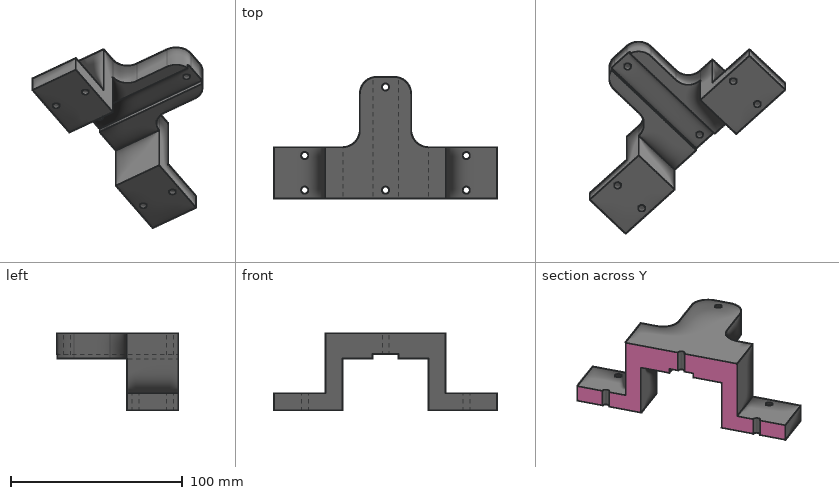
import cadquery as cq

length = 130.0
depth = 71.0
height = 45.0

bridge_depth = 30.0
bridge_width = 70.0
opening_width = 50.0
foot_thickness = 10.0
deck_thickness = 15.0

tongue_width = 30.0
corner_radius = 10.0

groove_width = 15.0
groove_depth = 2.7

hole_diameter = 4.0
foot_hole_x = 47.0
foot_hole_inset = 5.0
tip_hole_inset = 6.0

deck_bottom = height - deck_thickness


def centered_box(width, y_length, z_height, y_start, z_start):
    """Box centred on X, starting at the given Y and Z."""
    box = cq.Workplane("XY").box(width, y_length, z_height, centered=(True, False, False))
    return box.translate((0, y_start, z_start))


def make_bridge():
    feet = centered_box(length, bridge_depth, foot_thickness, 0, 0)
    block = centered_box(bridge_width, bridge_depth, height, 0, 0)
    opening = centered_box(opening_width, bridge_depth, deck_bottom, 0, 0)
    return feet.union(block).cut(opening)


def make_tongue():
    """Plate with rounded tip corners and concave blends into the bridge."""
    half_width = tongue_width / 2
    blend_x = half_width + corner_radius
    tip_x = half_width - corner_radius
    blend_y = bridge_depth + corner_radius
    tip_y = depth - corner_radius
    outline = (
        cq.Workplane("XY")
        .workplane(offset=deck_bottom)
        .moveTo(-blend_x, 0)
        .lineTo(blend_x, 0)
        .lineTo(blend_x, bridge_depth)
        .radiusArc((half_width, blend_y), corner_radius)
        .lineTo(half_width, tip_y)
        .radiusArc((tip_x, depth), -corner_radius)
        .lineTo(-tip_x, depth)
        .radiusArc((-half_width, tip_y), -corner_radius)
        .lineTo(-half_width, blend_y)
        .radiusArc((-blend_x, bridge_depth), corner_radius)
        .close()
    )
    return outline.extrude(deck_thickness)


def make_holes():
    """Vertical through holes in the feet and along the centre line."""
    hole_points = [(0, foot_hole_inset), (0, depth - tip_hole_inset)]
    for x in (-foot_hole_x, foot_hole_x):
        for y in (foot_hole_inset, bridge_depth - foot_hole_inset):
            hole_points.append((x, y))
    return cq.Workplane("XY").pushPoints(hole_points).circle(hole_diameter / 2).extrude(height)


groove = centered_box(groove_width, depth, groove_depth, 0, deck_bottom)

result = make_bridge().union(make_tongue()).cut(groove).cut(make_holes())